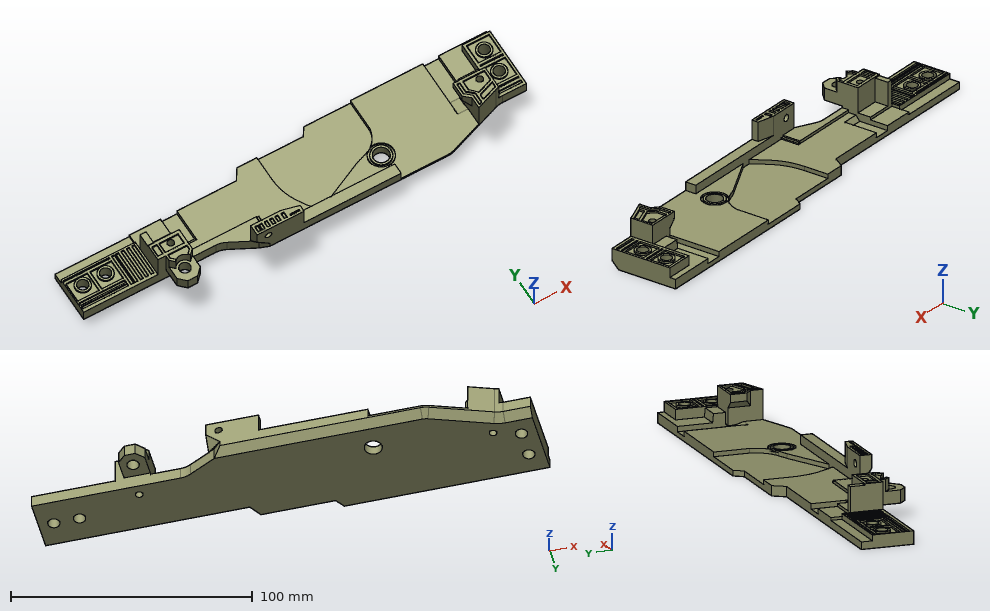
import cadquery as cq

LENGTH = 213.0
WIDTH = 44.78
HEIGHT = 17.5

LOW_DECK_Z = 2.5
LEFT_LEDGE_Z = 3.3
DECK_Z = 4.5
LEFT_PAD_Z = 5.8
RAIL_Z = 8.5
RIGHT_STEP_Z = 8.4
RIGHT_PAD_Z = 9.0

END_FRONT_Y = 12.3
FRONT_Y = 1.64
EDGE_CHAMFER = 3.4
LEFT_BACK_Y = 35.5
MIDDLE_BACK_Y = 40.8
BACK_STEP_1_X = (87.2, 90.6)
BACK_STEP_2_X = (122.5, 125.2)
LEFT_TAPER_START_X = 66.0
LEFT_TAPER_END = (79.9, FRONT_Y + EDGE_CHAMFER)
LEFT_TAPER_SLOPE = (END_FRONT_Y - LEFT_TAPER_END[1]) / (LEFT_TAPER_END[0] - LEFT_TAPER_START_X)
FRONT_START_X = 83.2
RIGHT_TAPER_X = (170.6, 199.6)
CORNER_RADIUS = 10.0

RELIEF_DEPTH = 0.8
GROOVE = 1.28
NARROW_GROOVE = 0.65
RING_DIAMETER = 7.2

LEFT_PAD_X = 35.7
LEFT_PAD_BACK_Y = 30.6
LEFT_HOLES = [(6.5, 24.0), (17.5, 24.0)]
LEFT_HOLE_DIAMETER = 5.05
LEFT_POCKETS_X = [(0.7, 11.0), (12.3, 22.6)]
LEFT_POCKETS_Y = (18.2, 27.9)
LEFT_LONG_GROOVES_Y = [13.9, 15.85]
LEFT_NARROW_GROOVE_Y = 29.1
LEFT_CROSS_GROOVES_X = [23.87, 25.8, 28.37, 30.93, 33.5]
LEFT_CROSS_GROOVES_Y = (13.9, 29.75)

POST_X = (LEFT_PAD_X, 50.75)
POST_BACK_Y = 20.4
POST_WALL_X = 38.6
POST_WALL_BACK_Y = 26.8
POST_WALL_Z = 16.9
POST_PIN_HOLE = (44.75, 17.1)
PIN_HOLE_DIAMETER = 3.1
POST_SLOT_X = (36.7, 39.1)
POST_POCKET_X = (40.2, 49.3)
POST_POCKET_Y = (13.8, 18.9)
LUG_LEFT_X = 39.5
LUG_Z = (6.5, 12.2)
LUG_CORNER = 3.3
LUG_HOLE = (45.0, 6.1)
LUG_HOLE_DIAMETER = 5.1
LUG_SEAT_DIAMETER = 7.45
COLUMN_SHOULDER_Y = 9.8
COLUMN_FRONT_Y = 7.2
COLUMN_CORNER = 2.5
COLUMN_RIM = 1.1

NOTCH_FLOOR_Z = 2.2
NOTCH_LEFT_X = (POST_X[1], 58.6)
NOTCH_LEFT_RAMP_Y = (19.3, 21.3)
NOTCH_RIGHT_X = (182.4, 190.0)
NOTCH_RIGHT_RAMP_Y = (16.4, 24.0)

STRIP_BACK_Y = 15.6
STRIP_X = (85.0, 86.2)

SUNKEN_X = (100.2, 147.6)
SUNKEN_STRAIGHT_Y = 29.0
SUNKEN_POINT_X = (108.8, 113.0)
SUNKEN_KNEE = (134.5, 17.4)
SUNKEN_BEND = (139.5, 19.2)

PIVOT = (145.1, 15.6)
PIVOT_DIAMETER = 7.45
PIVOT_RING_DIAMETER = 9.6
PIVOT_BOSS_DIAMETER = 11.7

RAIL_BACK_Y = 6.9
RAIL_END_X = 146.4
WALL_X = (77.1, 99.7)
WALL_TAPER_X = 91.5
WALL_END_Y = 4.9
WALL_UNDERCUT_Z = 11.6
WALL_HOLE_X = 82.6
WALL_HOLE_Z = 12.8
WALL_GROOVES_X = [78.4, 80.35, 82.9, 85.5, 88.05, 91.0]
WALL_GROOVES_Y = (2.8, 5.6)
WALL_SLOT_X = (94.0, 98.4)

RIGHT_PAD_X = RIGHT_TAPER_X[1]
HOOK_X = (184.3, 187.4)
HOOK_BACK_Y = 23.4
HOOK_CORNER_Y = (16.2, 13.4)
HOOK_LIP_Z = 14.1
RIGHT_STEP_X = NOTCH_RIGHT_X[1]
RIGHT_STEP_Y = (28.8, 29.2)
HOOK_PIN_HOLE = (195.1, 20.0)
HOOK_GROOVE_X = 185.5
HOOK_POCKET_X = (188.3, 198.6)
HOOK_POCKET_BACK_Y = 22.2
HOOK_POCKET_LEFT_X = 191.2

RIGHT_PAD_BACK_Y = 41.9
RIGHT_HOLES = [(206.4, 23.3), (206.4, 35.4)]
RIGHT_HOLE_DIAMETER = 5.1
RIGHT_POCKETS_X = (201.1, 211.9)
RIGHT_POCKETS_Y = [(18.2, 27.8), (31.0, 40.7)]
RIGHT_NARROW_GROOVES_Y = [16.4, 29.1]
RIGHT_GROOVE_Y = 13.75


def box(x_range, y_range, z_range):
    """Block between the given limits."""
    (x0, x1), (y0, y1), (z0, z1) = x_range, y_range, z_range
    return cq.Workplane("XY").box(x1 - x0, y1 - y0, z1 - z0, centered=False).translate((x0, y0, z0))


def prism(points, z_range):
    """Upright prism over a plan polygon."""
    z0, z1 = z_range
    return cq.Workplane("XY").polyline(points).close().extrude(z1 - z0).translate((0, 0, z0))


def cylinder(center, diameter, z_range):
    """Upright cylinder."""
    z0, z1 = z_range
    return cq.Workplane("XY", origin=(*center, z0)).circle(diameter / 2).extrude(z1 - z0)


def side_prism(points_yz, x_range):
    """Prism along X over a profile of (y, z) points."""
    x0, x1 = x_range
    return cq.Workplane("YZ", origin=(x0, 0, 0)).polyline(points_yz).close().extrude(x1 - x0)


def front_prism(points_xz, y_range):
    """Prism along Y over a profile of (x, z) points."""
    y0, y1 = y_range
    return cq.Workplane("XZ", origin=(0, y0, 0)).polyline(points_xz).close().extrude(y0 - y1)


def relief(x_range, y_range, top_z):
    """Shallow rectangular pocket below a face at top_z."""
    return box(x_range, y_range, (top_z - RELIEF_DEPTH, top_z))


def taper_y(x):
    """Front edge of the plate along the right taper."""
    x0, x1 = RIGHT_TAPER_X
    return FRONT_Y + (END_FRONT_Y - FRONT_Y) * (x - x0) / (x1 - x0)


def plate_blank(height):
    """Plan outline of the plate, extruded, with rounded front corners and a chamfered lower front edge."""
    outline = [
        (0, END_FRONT_Y),
        (LEFT_TAPER_START_X, END_FRONT_Y),
        LEFT_TAPER_END,
        (FRONT_START_X, FRONT_Y),
        (RIGHT_TAPER_X[0], FRONT_Y),
        (RIGHT_TAPER_X[1], END_FRONT_Y),
        (LENGTH, END_FRONT_Y),
        (LENGTH, WIDTH),
        (BACK_STEP_2_X[1], WIDTH),
        (BACK_STEP_2_X[0], MIDDLE_BACK_Y),
        (BACK_STEP_1_X[1], MIDDLE_BACK_Y),
        (BACK_STEP_1_X[0], LEFT_BACK_Y),
        (0, LEFT_BACK_Y),
    ]
    blank = prism(outline, (0, height))
    rounded_corners = [
        (LEFT_TAPER_START_X, END_FRONT_Y),
        (RIGHT_TAPER_X[0], FRONT_Y),
        (RIGHT_TAPER_X[1], END_FRONT_Y),
    ]
    for corner in rounded_corners:
        edge = cq.selectors.NearestToPointSelector((*corner, height / 2))
        blank = blank.edges("|Z").edges(edge).fillet(CORNER_RADIUS)
    front_middle_x = (FRONT_START_X + RIGHT_TAPER_X[0]) / 2
    front_edge = cq.selectors.NearestToPointSelector((front_middle_x, FRONT_Y, 0))
    return blank.faces("<Z").edges(front_edge).chamfer(EDGE_CHAMFER)


def stepped_plate():
    """Plate with its deck, end pads, strip and front rail at their own levels."""
    blank = plate_blank(HEIGHT)
    levels = [
        box((0, LEFT_PAD_X), (0, LEFT_BACK_Y), (0, LEFT_LEDGE_Z)),
        box((LEFT_PAD_X, LENGTH), (0, WIDTH), (0, DECK_Z)),
        box((0, LEFT_PAD_X), (0, LEFT_PAD_BACK_Y), (0, LEFT_PAD_Z)),
        box(POST_X, (0, POST_WALL_BACK_Y), (0, LEFT_PAD_Z)),
        box((POST_X[1], STRIP_X[0]), (0, STRIP_BACK_Y), (0, LEFT_PAD_Z)),
        box(STRIP_X, (0, STRIP_BACK_Y), (0, (DECK_Z + LEFT_PAD_Z) / 2)),
        box((FRONT_START_X, RAIL_END_X), (0, RAIL_BACK_Y), (0, RAIL_Z)),
        box((RIGHT_PAD_X, LENGTH), (0, RIGHT_PAD_BACK_Y), (0, RIGHT_PAD_Z)),
        side_prism(
            [
                (HOOK_BACK_Y, 0),
                (RIGHT_STEP_Y[1], 0),
                (RIGHT_STEP_Y[1], DECK_Z),
                (RIGHT_STEP_Y[0], RIGHT_STEP_Z),
                (HOOK_BACK_Y, RIGHT_STEP_Z),
            ],
            (RIGHT_STEP_X, RIGHT_PAD_X),
        ),
    ]
    stack = levels[0]
    for level in levels[1:]:
        stack = stack.union(level)
    return blank.intersect(stack)


def sunken_deck():
    """Region of the deck that lies lower, bounded by the rail and the pivot boss."""
    x0, x1 = SUNKEN_X
    curve_start = (x0, SUNKEN_STRAIGHT_Y)
    region = (
        cq.Workplane("XY", origin=(0, 0, LOW_DECK_Z))
        .moveTo(x0, WIDTH)
        .lineTo(*curve_start)
        .spline([(SUNKEN_POINT_X[0], RAIL_BACK_Y)], tangents=[(0, -1), (0.7, -1)], includeCurrent=True)
        .lineTo(SUNKEN_POINT_X[1], RAIL_BACK_Y)
        .lineTo(*SUNKEN_KNEE)
        .lineTo(*SUNKEN_BEND)
        .tangentArcPoint((x1, SUNKEN_STRAIGHT_Y), relative=False)
        .lineTo(x1, WIDTH)
        .close()
        .extrude(DECK_Z - LOW_DECK_Z)
    )
    return region.cut(cylinder(PIVOT, PIVOT_BOSS_DIAMETER, (LOW_DECK_Z, DECK_Z)))


def deck_notch(x_range, ramp_y):
    """Notch open to the back edge, its floor ramping up to the deck at the front."""
    profile = [(ramp_y[0], DECK_Z), (ramp_y[1], NOTCH_FLOOR_Z), (WIDTH, NOTCH_FLOOR_Z), (WIDTH, DECK_Z)]
    return side_prism(profile, x_range)


def left_post():
    """Post with a thin wall at the back, a lug at the front and a column notched for a screw head."""
    right_x = POST_X[1]
    post = box(POST_X, (END_FRONT_Y, POST_BACK_Y), (0, HEIGHT))
    wall = box((POST_X[0], POST_WALL_X), (POST_BACK_Y, POST_WALL_BACK_Y), (0, POST_WALL_Z))
    lug = prism(
        [
            (LUG_LEFT_X, END_FRONT_Y),
            (LUG_LEFT_X, LUG_CORNER),
            (LUG_LEFT_X + LUG_CORNER, 0),
            (right_x - LUG_CORNER, 0),
            (right_x, LUG_CORNER),
            (right_x, END_FRONT_Y),
        ],
        LUG_Z,
    )

    def column_outline(rim):
        left = LUG_LEFT_X + rim
        right = right_x - rim
        shoulder = COLUMN_SHOULDER_Y + rim / 2
        front = COLUMN_FRONT_Y + rim / 2
        return [
            (left, END_FRONT_Y),
            (left, shoulder),
            (left + COLUMN_CORNER, front),
            (right - COLUMN_CORNER, front),
            (right, shoulder),
            (right, END_FRONT_Y),
        ]

    column = prism(column_outline(0), (LUG_Z[1], HEIGHT))
    body = post.union(wall).union(lug).union(column)
    top = (HEIGHT - RELIEF_DEPTH, HEIGHT)
    cuts = [
        prism(column_outline(COLUMN_RIM), top),
        cylinder(LUG_HOLE, LUG_SEAT_DIAMETER, (LUG_Z[1], HEIGHT)),
        cylinder(LUG_HOLE, LUG_HOLE_DIAMETER, (0, HEIGHT)),
        relief(POST_SLOT_X, POST_POCKET_Y, HEIGHT),
        relief(POST_POCKET_X, POST_POCKET_Y, HEIGHT),
    ]
    for cut in cuts:
        body = body.cut(cut)
    return body


def wall_undercut():
    """Tetrahedron removed from the lower left front corner of the wall."""
    x0 = WALL_X[0]
    corner = (x0, FRONT_Y, LEFT_PAD_Z)
    along = (FRONT_START_X, FRONT_Y, LEFT_PAD_Z)
    above = (x0, FRONT_Y, WALL_UNDERCUT_Z)
    behind = (x0, LEFT_TAPER_END[1] + LEFT_TAPER_SLOPE * (LEFT_TAPER_END[0] - x0), LEFT_PAD_Z)
    triangles = [
        (corner, along, above),
        (corner, above, behind),
        (corner, behind, along),
        (along, behind, above),
    ]
    faces = []
    for triangle in triangles:
        corners = [cq.Vector(*point) for point in triangle]
        faces.append(cq.Face.makeFromWires(cq.Wire.makePolygon(corners, close=True)))
    return cq.Workplane(obj=cq.Solid.makeSolid(cq.Shell.makeShell(faces)))


def upright_wall():
    """Upright wall on the front rail, undercut at its left foot and thinning to the right."""
    x0, x1 = WALL_X
    plan = [(x0, FRONT_Y), (x1, FRONT_Y), (x1, WALL_END_Y), (WALL_TAPER_X, RAIL_BACK_Y), (x0, RAIL_BACK_Y)]
    wall = prism(plan, (LEFT_PAD_Z, HEIGHT)).cut(wall_undercut())
    for x in WALL_GROOVES_X:
        wall = wall.cut(relief((x, x + GROOVE), WALL_GROOVES_Y, HEIGHT))
    slot_y = (WALL_GROOVES_Y[0], WALL_GROOVES_Y[0] + NARROW_GROOVE)
    wall = wall.cut(relief(WALL_SLOT_X, slot_y, HEIGHT))
    hole = cq.Workplane("XZ", origin=(WALL_HOLE_X, 0, WALL_HOLE_Z)).circle(PIN_HOLE_DIAMETER / 2)
    return wall.cut(hole.extrude(-2 * RAIL_BACK_Y))


def hook_post():
    """Right post, with a hook lip toward the left and relief pockets in its top."""
    x0, x1 = HOOK_X
    right_x = RIGHT_PAD_X
    front_y = taper_y(x0)
    outline = [
        (x0, HOOK_BACK_Y),
        (x0, HOOK_CORNER_Y[0]),
        (x1, HOOK_CORNER_Y[1]),
        (x1, front_y),
        (right_x, front_y),
        (right_x, HOOK_BACK_Y),
    ]
    below_lip = front_prism(
        [(x0, 0), (x1, 0), (x1, HOOK_LIP_Z - (x1 - x0)), (x0, HOOK_LIP_Z)], (0, HOOK_BACK_Y)
    )
    post = prism(outline, (EDGE_CHAMFER, HEIGHT)).cut(below_lip).intersect(plate_blank(HEIGHT))

    groove_front = taper_y(x1) + GROOVE
    offset = x1 - x0
    g0, g1 = HOOK_GROOVE_X, HOOK_GROOVE_X + GROOVE
    groove = [
        (g0, HOOK_POCKET_BACK_Y),
        (g0, HOOK_CORNER_Y[0] + GROOVE / 2),
        (g0 + offset, HOOK_CORNER_Y[1] + GROOVE / 2),
        (g0 + offset, groove_front),
        (g1 + offset, groove_front + GROOVE / 2),
        (g1 + offset, HOOK_CORNER_Y[1] + GROOVE),
        (g1, HOOK_CORNER_Y[0] + GROOVE),
        (g1, HOOK_POCKET_BACK_Y),
    ]

    p0, p1 = HOOK_POCKET_X
    pm = HOOK_POCKET_LEFT_X

    def along_taper(x, offset_y):
        return (x, taper_y(x) + offset_y)

    front_rim = GROOVE
    rib_front = front_rim + 2 * GROOVE
    rib_back = rib_front + GROOVE
    back_pocket = [
        (p0, HOOK_POCKET_BACK_Y),
        (p0, HOOK_CORNER_Y[0] + GROOVE),
        along_taper(pm, rib_back),
        along_taper(p1, rib_back),
        (p1, HOOK_POCKET_BACK_Y),
    ]
    front_pocket = [
        along_taper(pm, front_rim),
        along_taper(p1, front_rim),
        along_taper(p1, rib_front),
        along_taper(pm, rib_front),
    ]
    for pocket in (groove, back_pocket, front_pocket):
        post = post.cut(prism(pocket, (HEIGHT - RELIEF_DEPTH, HEIGHT)))
    return post


def ringed_pocket(x_range, y_range, hole, top_z):
    """Relief pocket that leaves a ring standing around a hole."""
    pocket = relief(x_range, y_range, top_z)
    return pocket.cut(cylinder(hole, RING_DIAMETER, (0, top_z)))


def pad_reliefs():
    """All relief cuts of the two end pads."""
    cuts = []
    for x_range, hole in zip(LEFT_POCKETS_X, LEFT_HOLES):
        cuts.append(ringed_pocket(x_range, LEFT_POCKETS_Y, hole, LEFT_PAD_Z))
    long_x = (LEFT_POCKETS_X[0][0], LEFT_POCKETS_X[-1][1])
    for y in LEFT_LONG_GROOVES_Y:
        cuts.append(relief(long_x, (y, y + GROOVE), LEFT_PAD_Z))
    narrow_y = (LEFT_NARROW_GROOVE_Y, LEFT_NARROW_GROOVE_Y + NARROW_GROOVE)
    cuts.append(relief(long_x, narrow_y, LEFT_PAD_Z))
    for x in LEFT_CROSS_GROOVES_X:
        cuts.append(relief((x, x + GROOVE), LEFT_CROSS_GROOVES_Y, LEFT_PAD_Z))

    for y_range, hole in zip(RIGHT_POCKETS_Y, RIGHT_HOLES):
        cuts.append(ringed_pocket(RIGHT_POCKETS_X, y_range, hole, RIGHT_PAD_Z))
    for y in RIGHT_NARROW_GROOVES_Y:
        cuts.append(relief(RIGHT_POCKETS_X, (y, y + NARROW_GROOVE), RIGHT_PAD_Z))
    cuts.append(relief(RIGHT_POCKETS_X, (RIGHT_GROOVE_Y, RIGHT_GROOVE_Y + GROOVE), RIGHT_PAD_Z))
    return cuts


def through_holes():
    """Vertical through holes and the ring groove around the pivot."""
    full = (0, HEIGHT)
    holes = [cylinder(center, LEFT_HOLE_DIAMETER, full) for center in LEFT_HOLES]
    holes += [cylinder(center, RIGHT_HOLE_DIAMETER, full) for center in RIGHT_HOLES]
    holes += [cylinder(center, PIN_HOLE_DIAMETER, full) for center in (POST_PIN_HOLE, HOOK_PIN_HOLE)]
    ring_z = (DECK_Z - RELIEF_DEPTH, DECK_Z)
    ring = cylinder(PIVOT, PIVOT_BOSS_DIAMETER, ring_z).cut(cylinder(PIVOT, PIVOT_RING_DIAMETER, ring_z))
    return holes + [cylinder(PIVOT, PIVOT_DIAMETER, full), ring]


part = stepped_plate()
part = part.cut(sunken_deck())
part = part.cut(deck_notch(NOTCH_LEFT_X, NOTCH_LEFT_RAMP_Y))
part = part.cut(deck_notch(NOTCH_RIGHT_X, NOTCH_RIGHT_RAMP_Y))
for feature in (left_post(), upright_wall(), hook_post()):
    part = part.union(feature)
for cut in pad_reliefs() + through_holes():
    part = part.cut(cut)

result = part